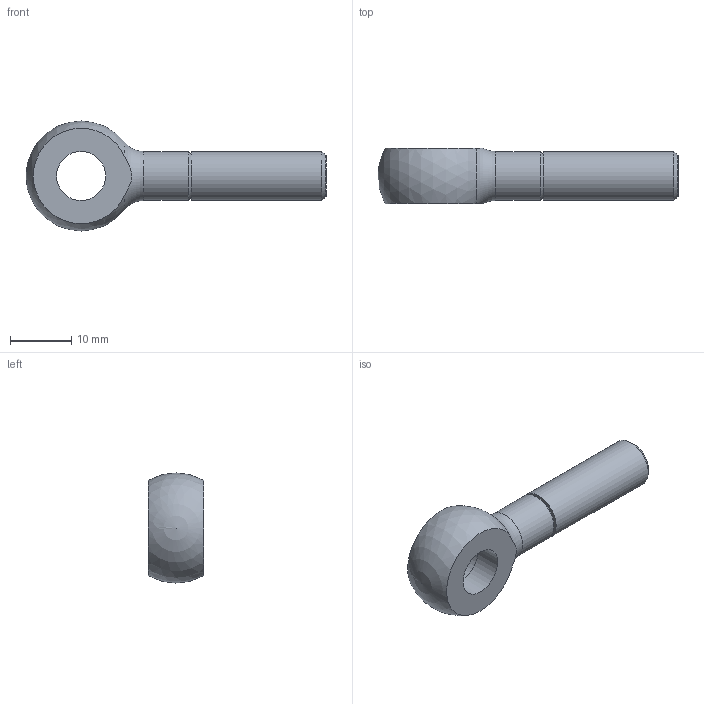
import cadquery as cq
import math

ball_radius = 9.0
eye_width = 9.0
bore_diameter = 8.0

shank_radius = 4.0
shank_end = 40.0
neck_fillet = 4.0

end_chamfer = 0.6
tip_bevel_length = 0.12
tip_bevel_drop = 0.1

groove_start = 17.5
groove_width = 0.5


def turned_body():
    """Ball, neck fillet and grooved shank revolved about the X axis."""
    fillet_centre_r = shank_radius + neck_fillet
    centre_distance = ball_radius + neck_fillet
    fillet_centre_x = math.sqrt(centre_distance**2 - fillet_centre_r**2)
    ball_angle = math.atan2(fillet_centre_r, fillet_centre_x)

    ball_tangent = (ball_radius * math.cos(ball_angle), ball_radius * math.sin(ball_angle))
    middle_angle = (ball_angle + math.pi / 2) / 2
    fillet_middle = (
        fillet_centre_x - neck_fillet * math.cos(middle_angle),
        fillet_centre_r - neck_fillet * math.sin(middle_angle),
    )
    groove_end = groove_start + groove_width
    groove_radius = shank_radius - groove_width
    chamfer_end = shank_end - tip_bevel_length
    chamfer_radius = shank_radius - end_chamfer
    end_radius = chamfer_radius - tip_bevel_drop

    profile = (
        cq.Workplane("XY")
        .moveTo(-ball_radius, 0)
        .threePointArc((0, ball_radius), ball_tangent)
        .threePointArc(fillet_middle, (fillet_centre_x, shank_radius))
        .lineTo(groove_start, shank_radius)
        .lineTo(groove_end, groove_radius)
        .lineTo(groove_end, shank_radius)
        .lineTo(chamfer_end - end_chamfer, shank_radius)
        .lineTo(chamfer_end, chamfer_radius)
        .lineTo(shank_end, end_radius)
        .lineTo(shank_end, 0)
        .close()
    )
    return profile.revolve(360, (0, 0, 0), (1, 0, 0))


def eye_flats():
    """Slab that trims the ball to the eye width."""
    slab_length = ball_radius + shank_end
    slab = cq.Workplane("XY").box(slab_length, eye_width, 2 * ball_radius)
    return slab.translate(((shank_end - ball_radius) / 2, 0, 0))


def cross_bore():
    """Pin bore through the eye along Y."""
    return cq.Workplane("XZ").circle(bore_diameter / 2).extrude(eye_width / 2, both=True)


result = turned_body().intersect(eye_flats()).cut(cross_bore())